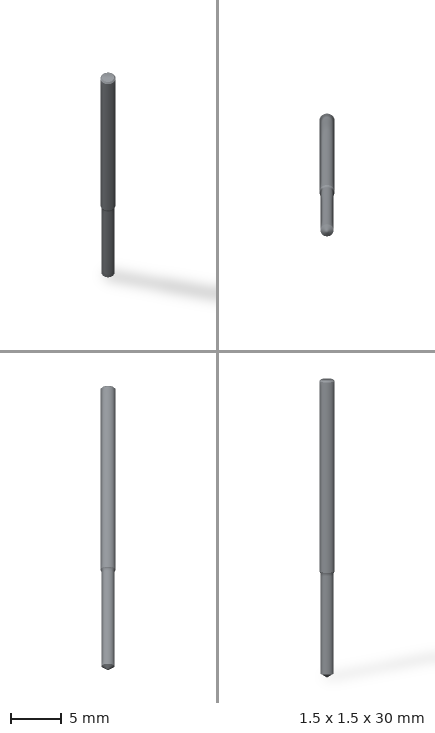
import cadquery as cq
import math

total_length = 30.0

shank_diameter = 1.5
shank_bottom_z = 10.65
top_chamfer = 0.15
bottom_chamfer = 0.03

head_diameter = 1.3
neck_top_diameter = shank_diameter - 2 * bottom_chamfer
neck_length = 0.3
point_length = 0.42


def make_shank():
    """Round shank with a lead chamfer on top and a broken edge at the bottom."""
    return (
        cq.Workplane("XY")
        .workplane(offset=shank_bottom_z)
        .circle(shank_diameter / 2)
        .extrude(total_length - shank_bottom_z)
        .faces(">Z")
        .edges()
        .chamfer(top_chamfer)
        .faces("<Z")
        .edges()
        .chamfer(bottom_chamfer)
    )


def make_head():
    """Head revolved about Z, its point at the origin and its neck against the shank.

    The neck is a concave arc that leaves the straight body tangentially.
    """
    head_radius = head_diameter / 2
    neck_top_radius = neck_top_diameter / 2
    neck_start_z = shank_bottom_z - neck_length
    flare = neck_top_radius - head_radius
    arc_radius = (neck_length**2 + flare**2) / (2 * flare)
    half_angle = math.asin(neck_length / arc_radius) / 2
    arc_middle = (
        head_radius + arc_radius * (1 - math.cos(half_angle)),
        neck_start_z + arc_radius * math.sin(half_angle),
    )
    return (
        cq.Workplane("XZ")
        .moveTo(0, 0)
        .lineTo(head_radius, point_length)
        .lineTo(head_radius, neck_start_z)
        .threePointArc(arc_middle, (neck_top_radius, shank_bottom_z))
        .lineTo(0, shank_bottom_z)
        .close()
        .revolve(360, (0, 0), (0, 1))
    )


shank = make_shank()
head = make_head()

result = cq.Compound.makeCompound([shank.val(), head.val()])